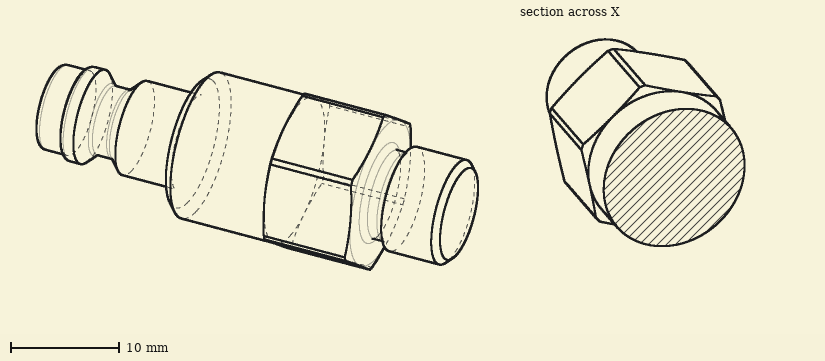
import cadquery as cq
import math

length = 41.0

nose_radius = 8.1 / 2
ring_radius = 9.0 / 2
neck_radius = 6.65 / 2
nose_round = 0.5
ring_start = 2.62
ring_cone_start = 4.1
stem_start = 8.32
neck_fillet = 0.5
neck_cone_angle = 45.0

body_radius = 14.0 / 2
body_start = 14.15
body_chamfer = 0.8
stem_fillet = 0.5

hex_start = 24.4
hex_end = 33.05
across_flats = 14.0
hex_corner_diameter = 15.83
hex_tilt = 11.3
hex_chamfer_length = 0.25
hex_sides = 6

thread_radius = 10.0 / 2
thread_start = 35.35
thread_chamfer = 0.6
undercut_radius = 8.5 / 2
undercut_fillet = 0.57
undercut_cone_angle = 60.0


def fillet_middle(x_center, r_center, radius, x_side, r_side):
    """Midpoint of a quarter arc lying on the given side of its centre."""
    reach = radius * math.sqrt(0.5)
    return x_center + x_side * reach, r_center + r_side * reach


def revolve_about_x(profile):
    return profile.close().revolve(360, (0, 0, 0), (1, 0, 0))


def make_turned_body():
    ring_round = ring_radius - nose_radius
    cone_slope = math.radians(neck_cone_angle)
    cone_length = (ring_radius - neck_radius) / math.tan(cone_slope)
    neck_start = ring_cone_start + cone_length
    neck_end = stem_start - cone_length

    half_turn = cone_slope / 2
    tangent = neck_fillet * math.tan(half_turn)
    cone_run = tangent * math.cos(cone_slope)
    cone_rise = tangent * math.sin(cone_slope)
    arc_run = neck_fillet * math.sin(half_turn)
    arc_rise = neck_fillet * (1 - math.cos(half_turn))

    fillet_x = body_start - stem_fillet
    undercut_x = hex_end + undercut_fillet

    cone_angle = math.radians(undercut_cone_angle)
    cone_foot = thread_start - (thread_radius - undercut_radius) / math.tan(cone_angle)
    blend_start = cone_foot - undercut_fillet * math.tan(cone_angle / 2)

    def undercut_blend_point(angle):
        x = blend_start + undercut_fillet * math.sin(angle)
        return x, undercut_radius + undercut_fillet * (1 - math.cos(angle))

    profile = (
        cq.Workplane("XY")
        .lineTo(0, nose_radius - nose_round)
        .threePointArc(
            fillet_middle(nose_round, nose_radius - nose_round, nose_round, -1, 1),
            (nose_round, nose_radius),
        )
        .lineTo(ring_start, nose_radius)
        .threePointArc(
            fillet_middle(ring_start + ring_round, nose_radius, ring_round, -1, 1),
            (ring_start + ring_round, ring_radius),
        )
        .lineTo(ring_cone_start, ring_radius)
        .lineTo(neck_start - cone_run, neck_radius + cone_rise)
        .threePointArc(
            (neck_start + tangent - arc_run, neck_radius + arc_rise),
            (neck_start + tangent, neck_radius),
        )
        .lineTo(neck_end - tangent, neck_radius)
        .threePointArc(
            (neck_end - tangent + arc_run, neck_radius + arc_rise),
            (neck_end + cone_run, neck_radius + cone_rise),
        )
        .lineTo(stem_start, ring_radius)
        .lineTo(fillet_x, ring_radius)
        .threePointArc(
            fillet_middle(fillet_x, ring_radius + stem_fillet, stem_fillet, 1, -1),
            (body_start, ring_radius + stem_fillet),
        )
        .lineTo(body_start, body_radius - body_chamfer)
        .lineTo(body_start + body_chamfer, body_radius)
        .lineTo(hex_end, body_radius)
        .lineTo(hex_end, undercut_radius + undercut_fillet)
        .threePointArc(
            fillet_middle(undercut_x, undercut_radius + undercut_fillet, undercut_fillet, -1, -1),
            (undercut_x, undercut_radius),
        )
        .lineTo(blend_start, undercut_radius)
        .threePointArc(undercut_blend_point(cone_angle / 2), undercut_blend_point(cone_angle))
        .lineTo(thread_start, thread_radius)
        .lineTo(length - thread_chamfer, thread_radius)
        .lineTo(length, thread_radius - thread_chamfer)
        .lineTo(length, 0)
    )
    return revolve_about_x(profile)


def make_hexagon():
    corner_radius = hex_corner_diameter / 2
    flat_radius = across_flats / 2
    corner_distance = across_flats / math.cos(math.pi / hex_sides)
    prism = (
        cq.Workplane("YZ", origin=(hex_start, 0, 0))
        .transformed(rotate=(0, 0, 90 - hex_tilt))
        .polygon(hex_sides, corner_distance)
        .extrude(hex_end - hex_start)
    )
    envelope = revolve_about_x(
        cq.Workplane("XY")
        .moveTo(hex_start, 0)
        .lineTo(hex_start, flat_radius)
        .lineTo(hex_start + hex_chamfer_length, corner_radius)
        .lineTo(hex_end - hex_chamfer_length, corner_radius)
        .lineTo(hex_end, flat_radius)
        .lineTo(hex_end, 0)
    )
    return prism.intersect(envelope)


result = make_turned_body().union(make_hexagon())